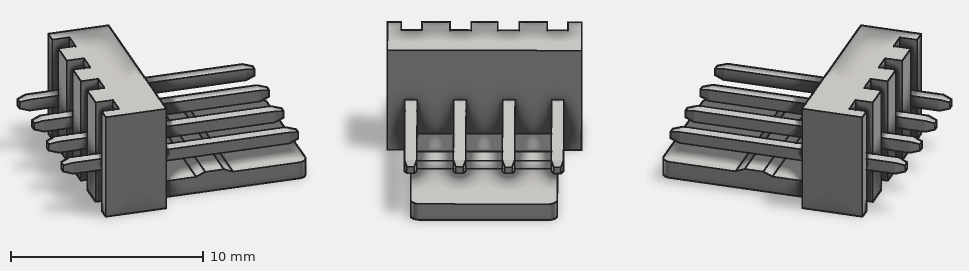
import cadquery as cq


pin_count = 4
pin_pitch = 2.55
pin_width = 0.64
pin_tip_width = 0.38
pin_height = 2.61
pin_tail = 2.0
pin_reach = 10.81
tail_taper = 0.5
reach_taper = 0.52

housing_width = 10.12
housing_depth = 3.3
housing_height = 5.8
slot_depth = 0.94
end_wall = 0.72
outer_slot_width = 1.07
middle_rib_width = 1.4
inner_slot_width = 1.1

tongue_width = (pin_count - 1) * pin_pitch
tongue_end = 11.4
tongue_thickness = 0.94
tongue_corner_radius = 0.5
ridge_start = 5.3
ridge_length = 2.01
ridge_ramp = 0.5
ridge_rise = 0.21


def make_slot(center_x, width):
    """Vertical slot through the board-side face of the housing."""
    return cq.Workplane("XY").center(center_x, slot_depth / 2).rect(width, slot_depth).extrude(housing_height)


def make_housing():
    """Block with one full-height slot around each pin."""
    block = (
        cq.Workplane("XY")
        .center(0, housing_depth / 2)
        .rect(housing_width, housing_depth)
        .extrude(housing_height)
    )
    outer_x = housing_width / 2 - end_wall - outer_slot_width / 2
    inner_x = (middle_rib_width + inner_slot_width) / 2
    for side in (-1, 1):
        block = block.cut(make_slot(side * outer_x, outer_slot_width))
        block = block.cut(make_slot(side * inner_x, inner_slot_width))
    return block


def make_tongue():
    """Flat tongue with a ramped ridge across it and rounded free corners."""
    ridge_end = ridge_start + ridge_length
    ridge_top = tongue_thickness + ridge_rise
    profile = [
        (housing_depth, 0),
        (tongue_end, 0),
        (tongue_end, tongue_thickness),
        (ridge_end, tongue_thickness),
        (ridge_end - ridge_ramp, ridge_top),
        (ridge_start + ridge_ramp, ridge_top),
        (ridge_start, tongue_thickness),
        (housing_depth, tongue_thickness),
    ]
    tongue = cq.Workplane("YZ").polyline(profile).close().extrude(tongue_width / 2, both=True)
    return tongue.faces(">Y").edges("|Z").fillet(tongue_corner_radius)


def make_taper(x, base_y, tip_y):
    """Square pin point narrowing from base_y to tip_y."""
    return (
        cq.Workplane("XZ", origin=(x, base_y, pin_height))
        .rect(pin_width, pin_width)
        .workplane(offset=base_y - tip_y)
        .rect(pin_tip_width, pin_tip_width)
        .loft(ruled=True)
    )


def make_pin(x):
    """Square pin with a tapered point at each end."""
    shaft_start = tail_taper - pin_tail
    shaft_end = pin_reach - reach_taper
    shaft = (
        cq.Workplane("XZ", origin=(x, shaft_start, pin_height))
        .rect(pin_width, pin_width)
        .extrude(shaft_start - shaft_end)
    )
    tail_point = make_taper(x, shaft_start, -pin_tail)
    reach_point = make_taper(x, shaft_end, pin_reach)
    return shaft.union(tail_point).union(reach_point)


result = make_housing().union(make_tongue())
for index in range(pin_count):
    pin_x = (index - (pin_count - 1) / 2) * pin_pitch
    result = result.union(make_pin(pin_x))